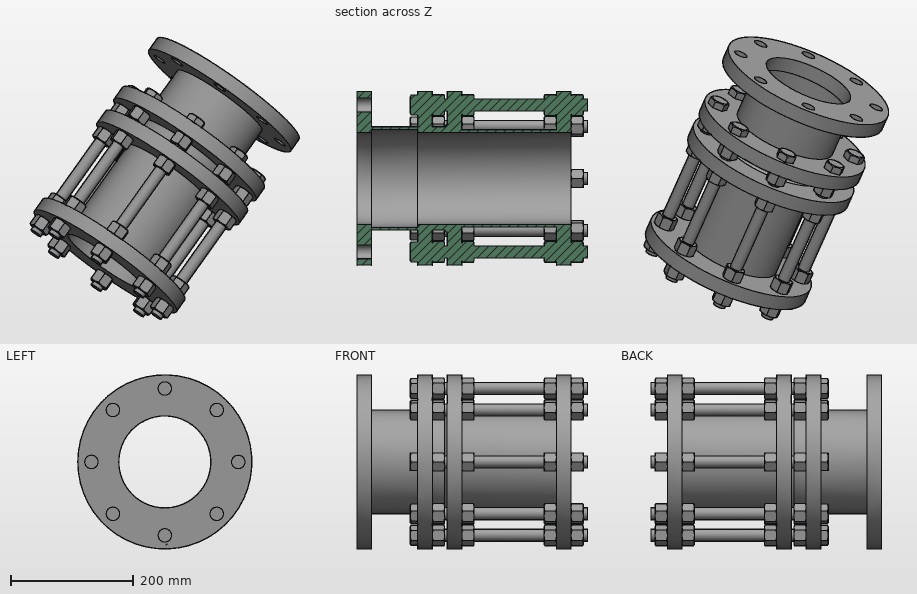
import cadquery as cq
import math

flange_dia = 285.0
flange_thickness = 24.0
gland_flange_x = 99.0
body_flange_x = 147.5
far_flange_x = 326.0

bore_dia = 150.0
body_pipe_dia = 160.0
inlet_pipe_dia = 170.0
body_pipe_x = gland_flange_x

bolt_count = 8
bolt_circle_dia = 240.0
bolt_hole_dia = 22.0
rod_dia = 20.0
rod_end_x = 376.8
head_width = 28.5
head_face_dia = 26.5
head_height = 12.5
nut_width = 29.8
nut_height = 20.0
hex_chamfer_angle = 30.0

gland_flange_end = gland_flange_x + flange_thickness
inlet_pipe_end = gland_flange_end + nut_height
body_flange_end = body_flange_x + flange_thickness
far_flange_end = far_flange_x + flange_thickness
head_x = gland_flange_x - head_height

seal_length = body_flange_x - inlet_pipe_end
seal_large_dia = inlet_pipe_dia + 2 * seal_length


def cylinder(dia, x_start, x_end):
    """Solid cylinder on the X axis."""
    return cq.Workplane("YZ", origin=(x_start, 0, 0)).circle(dia / 2).extrude(x_end - x_start)


def hex_prism(width, face_dia, x_start, height, chamfer_end):
    """Hexagon on the X axis with a corner toward +Z.

    Its corners are turned down to a round face of face_dia at the start, and at the end if asked.
    """
    corner_radius = width / math.sqrt(3)
    face_radius = face_dia / 2
    drop = (corner_radius - face_radius) * math.tan(math.radians(hex_chamfer_angle))
    x_end = x_start + height

    prism = cq.Workplane("YZ", origin=(x_start, 0, 0)).polygon(6, 2 * corner_radius).extrude(height)
    prism = prism.rotate((0, 0, 0), (1, 0, 0), 90)

    points = [(x_start, 0), (x_start, face_radius), (x_start + drop, corner_radius)]
    if chamfer_end:
        points += [(x_end - drop, corner_radius), (x_end, face_radius)]
    else:
        points += [(x_end, corner_radius)]
    points += [(x_end, 0)]
    envelope = cq.Workplane("XY").polyline(points).close().revolve(360, (0, 0, 0), (1, 0, 0))
    return prism.intersect(envelope)


def make_pipework():
    """Flanges, pipes and seal, bored through."""
    seal = (
        cq.Workplane("YZ", origin=(inlet_pipe_end, 0, 0))
        .circle(inlet_pipe_dia / 2)
        .workplane(offset=seal_length)
        .circle(seal_large_dia / 2)
        .loft()
    )
    solid = (
        cylinder(flange_dia, 0, flange_thickness)
        .union(cylinder(inlet_pipe_dia, 0, inlet_pipe_end))
        .union(cylinder(flange_dia, gland_flange_x, gland_flange_end))
        .union(seal)
        .union(cylinder(flange_dia, body_flange_x, body_flange_end))
        .union(cylinder(body_pipe_dia, body_flange_x, far_flange_end))
        .union(cylinder(flange_dia, far_flange_x, far_flange_end))
    )
    wide_bore = cylinder(body_pipe_dia, flange_thickness, body_pipe_x)
    return solid.cut(cylinder(bore_dia, 0, far_flange_end)).cut(wide_bore)


def make_bolt():
    """Tie rod on the X axis with its head and four nuts."""
    bolt = cylinder(rod_dia, head_x, rod_end_x)
    bolt = bolt.union(hex_prism(head_width, head_face_dia, head_x, head_height, False))
    nut_positions = (gland_flange_end, body_flange_end, far_flange_x - nut_height, far_flange_end)
    for nut_x in nut_positions:
        bolt = bolt.union(hex_prism(nut_width, nut_width, nut_x, nut_height, True))
    return bolt


def around_bolt_circle(shape):
    """Copies of a shape spaced evenly on the bolt circle, a corner pointing outward on each."""
    shifted = shape.translate((0, 0, bolt_circle_dia / 2))
    step = 360 / bolt_count
    return [shifted.rotate((0, 0, 0), (1, 0, 0), i * step) for i in range(bolt_count)]


result = make_pipework()

for hole in around_bolt_circle(cylinder(bolt_hole_dia, 0, flange_thickness)):
    result = result.cut(hole)

for bolt in around_bolt_circle(make_bolt()):
    result = result.union(bolt)